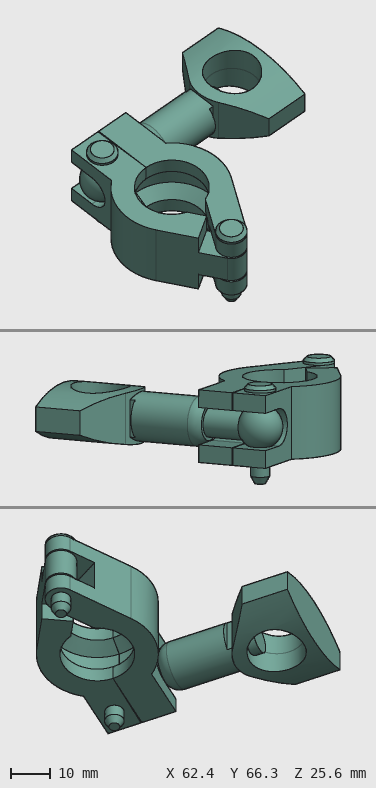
import cadquery as cq
import math


clamp_height = 18.7
bore_radius = 9.445
ring_radius = 15.45
lug_half_width = 9.5
seam_gap = 0.25

groove_radius = 13.25
groove_mouth_half_height = 5.2
groove_floor_half_height = 2.8

pin_radius = 2.485
pin_head_radius = 4.01
pin_head_height = 1.65
pin_head_chamfer = 1.0
pin_tail_length = 5.25
pin_tip_length = 2.0
pin_tip_radius = 1.4

hinge_x = 21.9
knuckle_radius = pin_head_radius
hinge_recess_length = 7.55
tongue_half_height = 4.05
fork_half_gap = 4.5

bolt_x = -20.55
bolt_pin_y = -4.8
ball_radius = 5.75
shank_radius = 3.81
shank_end_y = 35.65

slot_half_height = 4.805
slot_tip_offset = 5.95

barrel_radius = 6.35
barrel_end_y = 28.6
barrel_round_length = 3.2
barrel_foot_radius = 4.7
neck_half_width = 4.2
wing_back_y = 50.8
wing_half_width = 15.9
wing_edge_half_height = 3.15
wing_crown_half_height = 7.0
wing_hole_radius = 7.5
wing_hole_y = 40.5
wing_nose_radius = 9.3
wing_nose_tip_y = 28.95

lug_end_x = bolt_x - barrel_radius
lug_root_x = -math.sqrt(ring_radius**2 - lug_half_width**2)
arm_slope = math.asin((ring_radius - knuckle_radius) / hinge_x)
arm_cos = math.cos(arm_slope)
arm_sin = math.sin(arm_slope)
arm_inner_offset = ring_radius - 2 * knuckle_radius
hinge_along_arm = hinge_x * arm_cos
recess_start = hinge_along_arm - hinge_recess_length


def arm_point(along, offset):
    """Point on the +Y arm, along its length and away from the bore axis."""
    return (along * arm_cos + offset * arm_sin, -along * arm_sin + offset * arm_cos)


def prism(outline, half_height):
    """Extrude a closed outline symmetrically about Z = 0."""
    return outline.extrude(half_height, both=True)


def pin_hole(x, y):
    return prism(cq.Workplane().center(x, y).circle(pin_radius), clamp_height)


def ring_groove():
    """Ring with tapered sides that widens towards the bore."""
    return (
        cq.Workplane("XZ")
        .moveTo(0, -groove_mouth_half_height)
        .lineTo(bore_radius, -groove_mouth_half_height)
        .lineTo(groove_radius, -groove_floor_half_height)
        .lineTo(groove_radius, groove_floor_half_height)
        .lineTo(bore_radius, groove_mouth_half_height)
        .lineTo(0, groove_mouth_half_height)
        .close()
        .revolve(360, (0, 0, 0), (0, 1, 0))
    )


def half_blank(free_end_y):
    """Half clamp on the +Y side: lug, half ring and a straight arm with a round end."""
    middle_angle = (math.pi / 2 - arm_slope + math.acos(lug_root_x / ring_radius)) / 2
    ring_middle = (ring_radius * math.cos(middle_angle), ring_radius * math.sin(middle_angle))
    inner_start_along = math.sqrt(bore_radius**2 - arm_inner_offset**2)
    inner_start = arm_point(inner_start_along, arm_inner_offset)
    bore_middle_angle = (math.atan2(inner_start[1], inner_start[0]) + math.pi) / 2
    bore_middle = (bore_radius * math.cos(bore_middle_angle), bore_radius * math.sin(bore_middle_angle))
    outline = (
        cq.Workplane()
        .moveTo(lug_end_x, free_end_y)
        .lineTo(lug_end_x, lug_half_width)
        .lineTo(lug_root_x, lug_half_width)
        .threePointArc(ring_middle, arm_point(0, ring_radius))
        .lineTo(*arm_point(hinge_along_arm, ring_radius))
        .threePointArc(
            arm_point(hinge_along_arm + knuckle_radius, ring_radius - knuckle_radius),
            arm_point(hinge_along_arm, arm_inner_offset),
        )
        .lineTo(*inner_start)
        .threePointArc(bore_middle, (-bore_radius, 0))
        .close()
    )
    return prism(outline, clamp_height / 2).cut(ring_groove())


def hinge_recess(bottom, top):
    """Block that clears the end of the +Y arm between two heights."""
    side_margin = 0.65
    inner = arm_inner_offset - side_margin
    outer = ring_radius + side_margin
    end = hinge_along_arm + knuckle_radius + side_margin
    corners = [
        arm_point(recess_start, inner),
        arm_point(recess_start, outer),
        arm_point(end, outer),
        arm_point(end, inner),
    ]
    return cq.Workplane().workplane(offset=bottom).polyline(corners).close().extrude(top - bottom)


def bolt_slot():
    """Slot open at the lug ends, closed by a half round."""
    round_centre_x = bolt_x + slot_tip_offset - slot_half_height
    return (
        cq.Workplane("XZ")
        .moveTo(lug_end_x, -slot_half_height)
        .lineTo(round_centre_x, -slot_half_height)
        .threePointArc((bolt_x + slot_tip_offset, 0), (round_centre_x, slot_half_height))
        .lineTo(lug_end_x, slot_half_height)
        .close()
        .extrude(2 * lug_half_width, both=True)
    )


def ball():
    return cq.Workplane().sphere(ball_radius).translate((bolt_x, bolt_pin_y, 0))


def make_fork_half():
    """Clamp half on the +Y side, with two knuckles."""
    return (
        half_blank(0)
        .cut(hinge_recess(-fork_half_gap, fork_half_gap))
        .cut(bolt_slot())
        .cut(ball())
        .cut(pin_hole(hinge_x, 0))
    )


def make_tongue_half():
    """Clamp half on the -Y side, with one knuckle, the ball seat and the bolt pin hole."""
    return (
        half_blank(seam_gap)
        .cut(hinge_recess(tongue_half_height, clamp_height / 2))
        .cut(hinge_recess(-clamp_height / 2, -tongue_half_height))
        .mirror("XZ")
        .cut(bolt_slot())
        .cut(ball())
        .cut(pin_hole(hinge_x, 0))
        .cut(pin_hole(bolt_x, bolt_pin_y))
    )


def make_pin(x, y):
    """Headed pin with a tapered tip, standing in the clamp."""
    seat_z = clamp_height / 2
    head_top_z = seat_z + pin_head_height
    end_z = -seat_z - pin_tail_length
    pin = (
        cq.Workplane("XZ")
        .moveTo(0, end_z)
        .lineTo(pin_tip_radius, end_z)
        .lineTo(pin_radius, end_z + pin_tip_length)
        .lineTo(pin_radius, seat_z)
        .lineTo(pin_head_radius, seat_z)
        .lineTo(pin_head_radius, head_top_z - pin_head_chamfer)
        .lineTo(pin_head_radius - pin_head_chamfer, head_top_z)
        .lineTo(0, head_top_z)
        .close()
        .revolve(360, (0, 0, 0), (0, 1, 0))
    )
    return pin.translate((x, y, 0))


def shank():
    """Cylinder from the ball centre to the free end of the bolt."""
    return (
        cq.Workplane("XZ", origin=(bolt_x, bolt_pin_y, 0))
        .circle(shank_radius)
        .extrude(bolt_pin_y - shank_end_y)
    )


def make_ball_bolt():
    return ball().union(shank()).cut(pin_hole(bolt_x, bolt_pin_y))


def barrel():
    """Round barrel resting on the lug, with a rounded foot."""
    foot_y = lug_half_width
    return (
        cq.Workplane("XY", origin=(bolt_x, 0, 0))
        .moveTo(0, barrel_end_y)
        .lineTo(barrel_radius, barrel_end_y)
        .lineTo(barrel_radius, foot_y + barrel_round_length)
        .tangentArcPoint((barrel_foot_radius, foot_y), relative=False)
        .lineTo(0, foot_y)
        .close()
        .revolve(360, (0, 0, 0), (0, 1, 0))
    )


def neck():
    """Flat-sided bridge from the barrel into the wing."""
    end_y = wing_hole_y - wing_hole_radius
    length = end_y - barrel_end_y
    core = cq.Workplane("XZ", origin=(bolt_x, barrel_end_y, 0)).circle(barrel_radius).extrude(-length)
    slab = cq.Workplane().box(2 * neck_half_width, length, 2 * barrel_radius)
    return core.intersect(slab.translate((bolt_x, barrel_end_y + length / 2, 0)))


def wing():
    """Wing with a crowned top and bottom, a rounded nose and a vertical finger hole."""
    nose_y = wing_nose_tip_y + wing_nose_radius
    tangent_x = wing_nose_radius**2 / wing_half_width
    tangent_y = nose_y - math.sqrt(wing_nose_radius**2 - tangent_x**2)
    plan = (
        cq.Workplane("XY", origin=(bolt_x, 0, 0))
        .moveTo(-wing_half_width, wing_back_y)
        .lineTo(-wing_half_width, nose_y)
        .lineTo(-tangent_x, tangent_y)
        .threePointArc((0, wing_nose_tip_y), (tangent_x, tangent_y))
        .lineTo(wing_half_width, nose_y)
        .lineTo(wing_half_width, wing_back_y)
        .close()
    )
    crown = (
        cq.Workplane("XZ", origin=(bolt_x, wing_back_y, 0))
        .moveTo(-wing_half_width, -wing_edge_half_height)
        .lineTo(-wing_half_width, wing_edge_half_height)
        .threePointArc((0, wing_crown_half_height), (wing_half_width, wing_edge_half_height))
        .lineTo(wing_half_width, -wing_edge_half_height)
        .threePointArc((0, -wing_crown_half_height), (-wing_half_width, -wing_edge_half_height))
        .close()
        .extrude(wing_back_y - wing_nose_tip_y)
    )
    return prism(plan, wing_crown_half_height).intersect(crown)


def make_wing_nut():
    hole_outline = cq.Workplane().center(bolt_x, wing_hole_y).circle(wing_hole_radius)
    finger_hole = prism(hole_outline, wing_crown_half_height)
    return wing().union(neck()).union(barrel()).cut(finger_hole).cut(shank())


fork_half = make_fork_half()
tongue_half = make_tongue_half()
ball_bolt = make_ball_bolt()
wing_nut = make_wing_nut()

pin_places = [(hinge_x, 0), (bolt_x, bolt_pin_y)]
pins = [make_pin(x, y).val() for x, y in pin_places]

result = cq.Compound.makeCompound(
    [body.solids().val() for body in (fork_half, tongue_half, ball_bolt, wing_nut)] + pins
)